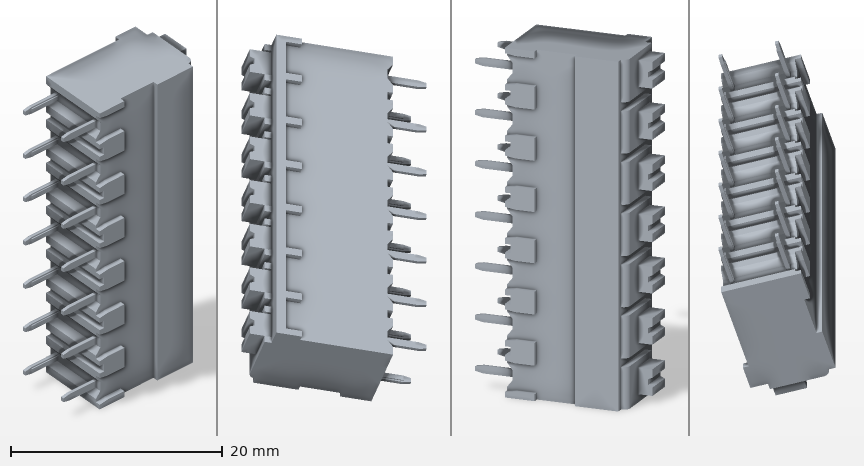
import cadquery as cq

terminal_count = 7
total_height = 34.68
gap_height = 0.85
pitch = (total_height + gap_height) / terminal_count
terminal_height = pitch - gap_height

width = 8.4
rib_thickness = 0.55
body_left = rib_thickness
body_right = width - rib_thickness
body_back = 11.6
rail_front = 10.6
tab_front = 9.1
tab_height = 0.75
end_tab_height = 0.65
rear_flange_front = 7.15
front_flange_back = 3.05

front_gap_depth = 0.55
groove_depth = 0.55
groove_mouth = 2.4
groove_floor = 1.0
flange_cut_mouth = 3.12
flange_cut_floor = 2.8
flange_draft_depth = 1.05

head_left = 1.75
head_right = 7.7
head_back = 12.25
head_radius = 0.62
lever_left = 1.87
lever_right = 4.95
lever_height = 2.65
lever_back = 13.65
lever_slot_height = 2.85
lever_notch_mouth = 0.97
lever_notch_floor = 0.55
lever_notch_depth = 0.45

pin_tip = 3.5
pin_taper_start = 2.75
pin_height = 0.75
pin_tip_height = 0.45
pin_thickness = 0.35
pin_outer_left = 1.32
pin_outer_right = 7.25
pin_ridge_height = 0.45
pin_ridge_thickness = 0.1

terminal_centers = [terminal_height / 2 + i * pitch for i in range(terminal_count)]
gap_centers = [z + pitch / 2 for z in terminal_centers[:-1]]


def box(x0, x1, y0, y1, z0, z1):
    """Box given by its limits along the three axes."""
    return cq.Workplane("XY").box(x1 - x0, y1 - y0, z1 - z0, centered=False).translate((x0, y0, z0))


def centered_box(x0, x1, y0, y1, z_center, height):
    """Box given by its limits along X and Y and centred on a level along Z."""
    return box(x0, x1, y0, y1, z_center - height / 2, z_center + height / 2)


def tapered_prism(x0, x1, y0, half_height_0, y1, half_height_1, z_center):
    """Prism along X whose height changes evenly from y0 to y1."""
    return (
        cq.Workplane("YZ", origin=(x0, 0, z_center))
        .polyline([(y0, -half_height_0), (y1, -half_height_1), (y1, half_height_1), (y0, half_height_0)])
        .close()
        .extrude(x1 - x0)
    )


def housing():
    """Main block with the rail on -X and the two flanges on +X."""
    body = box(body_left, body_right, 0, body_back, 0, total_height)
    body = body.union(box(0, body_left, rail_front, body_back, 0, total_height))
    body = body.union(box(body_right, width, rear_flange_front, body_back, 0, total_height))
    return body.union(box(body_right, width, 0, front_flange_back, 0, total_height))


def rail_tabs():
    """Teeth of the -X rail: one at each gap and a shorter one at each end."""
    tabs = box(0, body_left, tab_front, rail_front, 0, end_tab_height)
    tabs = tabs.union(box(0, body_left, tab_front, rail_front, total_height - end_tab_height, total_height))
    for z in gap_centers:
        tabs = tabs.union(centered_box(0, body_left, tab_front, rail_front, z, tab_height))
    return tabs


def front_openings(z):
    """Bevelled groove around the pins, and the opening through the front flange with a draughted mouth."""
    groove = tapered_prism(0, width, 0, groove_mouth / 2, groove_depth, groove_floor / 2, z)
    flange_mouth = tapered_prism(
        body_right, width, 0, flange_cut_mouth / 2, flange_draft_depth, flange_cut_floor / 2, z
    )
    flange_cut = centered_box(body_right, width, 0, front_flange_back, z, flange_cut_floor)
    return groove.union(flange_mouth).union(flange_cut)


def head(z):
    """Raised block on the back with one rounded edge and a slot for the lever."""
    block = centered_box(head_left, head_right, body_back, head_back, z, terminal_height)
    block = block.edges(">X and >Y").fillet(head_radius)
    return block.cut(centered_box(head_left, lever_right, body_back, head_back, z, lever_slot_height))


def lever(z):
    """Push lever with a trapezoidal notch along its back."""
    bar = centered_box(lever_left, lever_right, body_back, lever_back, z, lever_height)
    notch_floor_y = lever_back - lever_notch_depth
    notch = tapered_prism(
        lever_left, lever_right, lever_back, lever_notch_mouth / 2, notch_floor_y, lever_notch_floor / 2, z
    )
    return bar.cut(notch)


def pin(outer_x, inward, z):
    """Flat pin with a tapered tip and a ridge on its inner face; inward is +1 or -1 along X."""
    inner_x = outer_x + inward * pin_thickness
    ridge_x = inner_x + inward * pin_ridge_thickness
    x0, x1 = sorted((outer_x, inner_x))
    shank = centered_box(x0, x1, -pin_taper_start, groove_depth, z, pin_height)
    tip = tapered_prism(x0, x1, -pin_taper_start, pin_height / 2, -pin_tip, pin_tip_height / 2, z)
    x0, x1 = sorted((inner_x, ridge_x))
    ridge = centered_box(x0, x1, -pin_taper_start, groove_depth, z, pin_ridge_height)
    return shank.union(tip).union(ridge)


result = housing().union(rail_tabs())
for z in gap_centers:
    result = result.cut(centered_box(0, width, 0, front_gap_depth, z, gap_height))
for z in terminal_centers:
    result = result.cut(front_openings(z))
    result = result.union(head(z)).union(lever(z))
    result = result.union(pin(pin_outer_left, 1, z)).union(pin(pin_outer_right, -1, z))